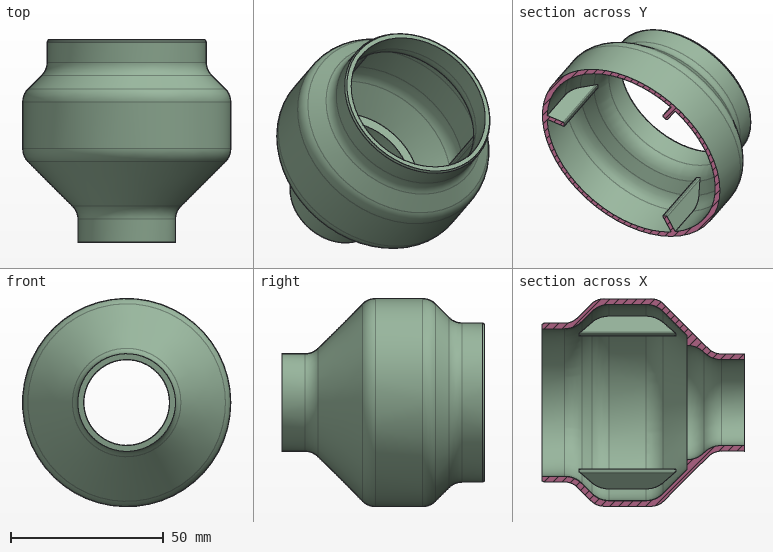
import cadquery as cq
import math


overall_length = 66.37
body_radius = 34.1
small_neck_radius = 16.0
large_neck_radius = 26.1
small_neck_length = 10.1
large_neck_length = 9.9
wall = 2.0
outer_bend_radius = 6.0
inner_bend_radius = 8.0
cone_angle = 45.0
rim_chamfer_length = 0.7
rim_chamfer_depth = 0.45
rib_inner_radius = 25.6
rib_width = 2.0
rib_edge_radius = 0.4
rib_count = 3
first_rib_angle = 60.0

cone_radians = math.radians(cone_angle)
cone_slope = math.tan(cone_radians)
half_angle_tangent = math.tan(cone_radians / 2)

small_cone_start = small_neck_length
small_cone_end = small_cone_start + (body_radius - small_neck_radius) / cone_slope
large_cone_end = overall_length - large_neck_length
large_cone_start = large_cone_end - (body_radius - large_neck_radius) / cone_slope


def bend(radius, corner, bend_radius, cone_side, radial_side):
    """Tangent points of a bend between a cylinder and a cone: on the cylinder, on the cone.

    cone_side is +1 where the cone lies towards +Y from the corner, else -1.
    radial_side is +1 where the cone lies outside the cylinder, else -1.
    """
    tangent_length = bend_radius * half_angle_tangent
    on_cylinder = (radius, corner - cone_side * tangent_length)
    on_cone = (
        radius + radial_side * tangent_length * math.sin(cone_radians),
        corner + cone_side * tangent_length * math.cos(cone_radians),
    )
    return on_cylinder, on_cone


def surface_bends(offset, bend_radius):
    """Bends, from -Y to +Y, of the outside surface moved inwards by offset."""
    shift = offset * half_angle_tangent
    body = body_radius - offset
    return (
        bend(small_neck_radius - offset, small_cone_start + shift, bend_radius, 1, 1),
        bend(body, small_cone_end + shift, bend_radius, -1, -1),
        bend(body, large_cone_start - shift, bend_radius, 1, -1),
        bend(large_neck_radius - offset, large_cone_end - shift, bend_radius, -1, 1),
    )


def draw_outside(profile):
    """Outside outline from the small rim to the bevelled large rim."""
    small_neck, small_shoulder, large_shoulder, large_neck = surface_bends(0, outer_bend_radius)
    return (
        profile.lineTo(small_neck_radius, 0)
        .lineTo(*small_neck[0])
        .tangentArcPoint(small_neck[1], relative=False)
        .lineTo(*small_shoulder[1])
        .tangentArcPoint(small_shoulder[0], relative=False)
        .lineTo(*large_shoulder[0])
        .tangentArcPoint(large_shoulder[1], relative=False)
        .lineTo(*large_neck[1])
        .tangentArcPoint(large_neck[0], relative=False)
        .lineTo(large_neck_radius, overall_length - rim_chamfer_length)
        .lineTo(large_neck_radius - rim_chamfer_depth, overall_length)
    )


def draw_inside(profile):
    """Inside outline from the large rim back to the small neck, around the seat lip."""
    small_neck, small_shoulder, large_shoulder, large_neck = surface_bends(wall, inner_bend_radius)
    bore_radius, neck_bend_start = small_neck[0]
    seat_start_radius, seat_start = small_neck[1]
    seat_radius = 2 * seat_start_radius - bore_radius
    seat_end = 2 * seat_start - neck_bend_start
    cone_radius_at_seat = seat_start_radius + (seat_end - seat_start) * cone_slope
    return (
        profile.lineTo(large_neck_radius - wall, overall_length)
        .lineTo(*large_neck[0])
        .tangentArcPoint(large_neck[1], relative=False)
        .lineTo(*large_shoulder[1])
        .tangentArcPoint(large_shoulder[0], relative=False)
        .lineTo(*small_shoulder[0])
        .tangentArcPoint(small_shoulder[1], relative=False)
        .lineTo(cone_radius_at_seat, seat_end)
        .lineTo(seat_radius, seat_end)
        .threePointArc(seat_bend_middle(seat_radius, seat_end), (seat_start_radius, seat_start))
        .tangentArcPoint((bore_radius, neck_bend_start), relative=False)
        .lineTo(bore_radius, 0)
    )


def seat_bend_middle(seat_radius, seat_end):
    """Point halfway round the seat bend."""
    half_turn = cone_radians / 2
    return (
        seat_radius - inner_bend_radius * (1 - math.cos(half_turn)),
        seat_end - inner_bend_radius * math.sin(half_turn),
    )


def shell():
    """Revolved wall of the vessel, with the seat lip."""
    profile = cq.Workplane("XY").moveTo(small_neck_radius - wall, 0)
    profile = draw_inside(draw_outside(profile)).close()
    return profile.revolve(360, (0, 0, 0), (0, 1, 0))


def guide_rib(angle):
    """Axial rib at an angle about Y, reaching inwards from the body and both cones."""
    root_radius = body_radius - wall / 2
    root_shift = (wall / 2) * half_angle_tangent
    root_start = small_cone_end + root_shift
    root_end = large_cone_start - root_shift
    overhang = (root_radius - rib_inner_radius) / cone_slope
    rib = (
        cq.Workplane("XY")
        .moveTo(root_radius, root_start)
        .lineTo(rib_inner_radius, root_start - overhang)
        .lineTo(rib_inner_radius, root_end + overhang)
        .lineTo(root_radius, root_end)
        .close()
        .extrude(rib_width / 2, both=True)
        .edges("<X and |Y")
        .fillet(rib_edge_radius)
    )
    return rib.rotate((0, 0, 0), (0, 1, 0), angle)


result = shell()
for index in range(rib_count):
    result = result.union(guide_rib(first_rib_angle + index * 360 / rib_count))